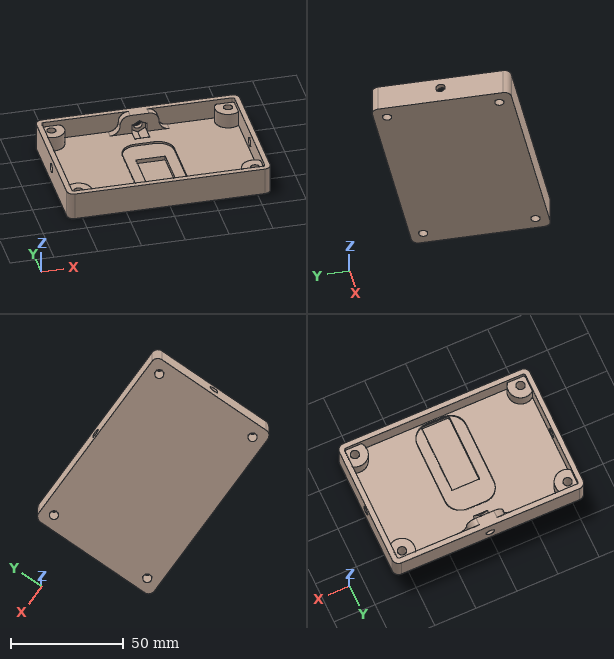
import cadquery as cq
import math

length = 93.0
width = 63.0
height = 13.0
wall = 2.5
floor = 3.6
outer_corner_radius = 3.2
inner_corner_radius = 1.0

boss_diameter = 12.0
boss_top = 10.7
screw_hole_diameter = 4.0
screw_spacing_x = 80.6
screw_spacing_y = 50.8

side_hole_diameter = 4.1
side_hole_z = 7.6

block_base_width = 27.0
block_top_width = 8.65
block_depth = 3.5

nut_across_flats = 6.9
nut_trap_length = 8.4
nut_z = 5.6
nut_bolt_diameter = 4.0

recess_length_x = 23.7
recess_length_y = 44.6
recess_center_y = -6.0
recess_corner_radius = 7.4
recess_depth = 0.9
slot_length_x = 13.4
slot_front_y = -28.1
slot_back_y = 5.0
slot_depth = 1.95
slot_corner_radius = 1.2

inner_length = length - 2 * wall
inner_width = width - 2 * wall
inner_back_y = inner_width / 2


def rounded_block(size_x, size_y, size_z, radius, base_z):
    """Upright block, centred on Z, with rounded vertical edges."""
    block = cq.Workplane("XY").workplane(offset=base_z).rect(size_x, size_y).extrude(size_z)
    return block.edges("|Z").fillet(radius)


def make_tray():
    shell = rounded_block(length, width, height, outer_corner_radius, 0)
    return shell.cut(make_cavity())


def make_cavity():
    return rounded_block(inner_length, inner_width, height - floor, inner_corner_radius, floor)


def make_bosses():
    """Round bosses, trimmed to the cavity so that they merge with the walls."""
    bosses = (
        cq.Workplane("XY")
        .workplane(offset=floor)
        .rect(screw_spacing_x, screw_spacing_y, forConstruction=True)
        .vertices()
        .circle(boss_diameter / 2)
        .extrude(boss_top - floor)
    )
    return bosses.intersect(make_cavity())


def make_screw_holes():
    return (
        cq.Workplane("XY")
        .rect(screw_spacing_x, screw_spacing_y, forConstruction=True)
        .vertices()
        .circle(screw_hole_diameter / 2)
        .extrude(boss_top)
    )


def make_side_holes():
    return (
        cq.Workplane("YZ")
        .center(0, side_hole_z)
        .circle(side_hole_diameter / 2)
        .extrude(length / 2, both=True)
    )


def make_nut_block():
    """Block whose shoulders curve up from the floor, turn upright and round over at the top."""
    base_x = block_base_width / 2
    top_x = block_top_width / 2
    shoulder_radius = (base_x - top_x) / 2
    middle_x = top_x + shoulder_radius
    lower_z = floor + shoulder_radius
    upper_z = height - shoulder_radius
    bend = shoulder_radius * math.sqrt(0.5)
    return (
        cq.Workplane("XZ", origin=(0, inner_back_y, 0))
        .moveTo(-base_x, floor)
        .threePointArc((-base_x + bend, lower_z - bend), (-middle_x, lower_z))
        .lineTo(-middle_x, upper_z)
        .threePointArc((-top_x - bend, upper_z + bend), (-top_x, height))
        .lineTo(top_x, height)
        .threePointArc((top_x + bend, upper_z + bend), (middle_x, upper_z))
        .lineTo(middle_x, lower_z)
        .threePointArc((base_x - bend, lower_z - bend), (base_x, floor))
        .close()
        .extrude(block_depth)
    )


def make_nut_trap():
    across_points = nut_across_flats / math.cos(math.radians(30))
    trap = (
        cq.Workplane("XZ", origin=(0, inner_back_y, nut_z))
        .transformed(rotate=(0, 0, 90))
        .polygon(6, across_points)
        .extrude(nut_trap_length)
    )
    bolt_hole = (
        cq.Workplane("XZ", origin=(0, inner_back_y, nut_z))
        .circle(nut_bolt_diameter / 2)
        .extrude(-wall)
    )
    return trap.union(bolt_hole)


def make_floor_recess():
    recess_floor = floor - recess_depth
    recess = rounded_block(
        recess_length_x, recess_length_y, recess_depth, recess_corner_radius, recess_floor
    ).translate((0, recess_center_y, 0))
    slot = (
        cq.Workplane("XY")
        .workplane(offset=recess_floor - slot_depth)
        .center(0, (slot_front_y + slot_back_y) / 2)
        .rect(slot_length_x, slot_back_y - slot_front_y)
        .extrude(slot_depth)
        .edges("|Z and <X and <Y")
        .fillet(slot_corner_radius)
    )
    return recess.union(slot)


result = (
    make_tray()
    .union(make_bosses())
    .union(make_nut_block())
    .cut(make_screw_holes())
    .cut(make_side_holes())
    .cut(make_nut_trap())
    .cut(make_floor_recess())
)